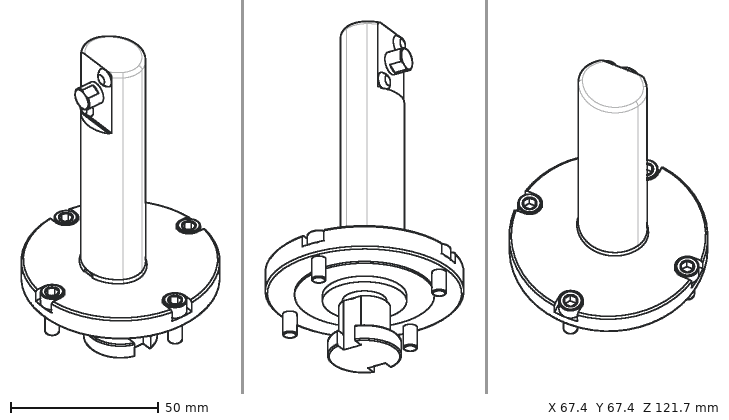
import cadquery as cq
import math

total_height = 121.7
foot_top = 5.8
shaft_top = 18.7
neck_top = 21.2
step_top = 23.4
flange_bottom = 24.1
flange_top = 33.0

flange_diameter = 67.4
flange_chamfer = 0.7
disc_diameter = 47.6
step_diameter = 28.6
neck_diameter = 15.1

shaft_diameter = 17.5
shaft_across_flats = 15.8
foot_diameter = 25.1
foot_chamfer = 0.5
foot_slot_width = 6.9

screw_count = 4
screw_circle_radius = 29.7
screw_shank_diameter = 4.9
screw_shank_bottom = 16.1
screw_head_diameter = 7.9
screw_head_top = 33.3
screw_chamfer = 0.4
socket_mouth_diameter = 4.9
socket_mouth_depth = 0.2
socket_across_flats = 4.0
socket_depth = 3.7
notch_width = 8.6
notch_floor = 28.5

column_back_y = 7.4
column_front_y = -13.7
column_half_width = 12.0
side_arc_radius = 8.4
side_arc_y = -3.3
column_top_fillet = 1.3
flare_height = 1.3
flare_width = 0.5
flare_gap_width = 4.4

face_y = -10.53
face_height = 25.4
face_step_height = 0.4
face_step_depth = 0.6

pin_diameter = 7.9
pin_tip_y = -16.9
pin_below_top = 12.7
pin_chamfer = 0.4
pin_flat_distance = 3.5
pin_flat_offset = 1.6
button_direction = 62.0

button_circle_radius = 10.3
button_diameter = 6.7
button_top_diameter = 3.5
button_height = 1.7


def disc(diameter, bottom, top):
    """Upright cylinder on the main axis between two heights."""
    return cq.Workplane("XY", origin=(0, 0, bottom)).circle(diameter / 2).extrude(top - bottom)


def side_tangent_point(end_y):
    """Point where the right side arc meets the wide arc whose apex is at (0, end_y)."""
    side_arc_x = column_half_width - side_arc_radius
    apex_distance = abs(end_y - side_arc_y)
    wide_radius = (side_arc_x**2 + apex_distance**2 - side_arc_radius**2) / (
        2 * (apex_distance - side_arc_radius)
    )
    toward_apex = math.copysign(1, end_y - side_arc_y)
    reach = side_arc_radius / (wide_radius - side_arc_radius)
    return (
        side_arc_x * (1 + reach),
        side_arc_y + toward_apex * (wide_radius - apex_distance) * reach,
    )


def column_outline(bottom):
    """Closed column section drawn at a given height."""
    back_x, back_y = side_tangent_point(column_back_y)
    front_x, front_y = side_tangent_point(column_front_y)
    return (
        cq.Workplane("XY", origin=(0, 0, bottom))
        .moveTo(back_x, back_y)
        .threePointArc((0, column_back_y), (-back_x, back_y))
        .threePointArc((-column_half_width, side_arc_y), (-front_x, front_y))
        .threePointArc((0, column_front_y), (front_x, front_y))
        .threePointArc((column_half_width, side_arc_y), (back_x, back_y))
        .close()
    )


def make_foot():
    """Shaft with two flats, ending in a foot slotted down to those flats."""
    shaft = disc(shaft_diameter, 0, shaft_top)
    foot = disc(foot_diameter, 0, foot_top).faces("<Z or >Z").chamfer(foot_chamfer)
    body = shaft.union(foot)
    slot_depth = (foot_diameter - shaft_across_flats) / 2
    slot_centre = (foot_diameter + shaft_across_flats) / 4
    slots = (
        cq.Workplane("XY")
        .pushPoints([(-slot_centre, 0), (slot_centre, 0)])
        .rect(slot_depth, foot_slot_width)
        .extrude(shaft_top)
    )
    return body.cut(slots)


def make_flange():
    """Flange with open-ended screw notches and the stepped discs below it."""
    flange = disc(flange_diameter, flange_bottom, flange_top).faces("<Z or >Z").chamfer(flange_chamfer)
    notch_height = flange_top - notch_floor
    notch = (
        cq.Workplane("XY", origin=(screw_circle_radius, 0, notch_floor))
        .circle(notch_width / 2)
        .extrude(notch_height)
        .union(
            cq.Workplane("XY", origin=(screw_circle_radius, 0, notch_floor))
            .rect(notch_width, notch_width)
            .extrude(notch_height)
            .translate((notch_width / 2, 0, 0))
        )
    )
    for index in range(screw_count):
        flange = flange.cut(notch.rotate((0, 0, 0), (0, 0, 1), index * 360 / screw_count))
    discs = (
        disc(disc_diameter, step_top, flange_bottom)
        .union(disc(step_diameter, neck_top, step_top))
        .union(disc(neck_diameter, shaft_top, neck_top))
    )
    return flange.union(discs)


def make_flange_screws():
    """Hexagon-socket screws standing in the flange notches, all turned the same way."""
    head = disc(screw_head_diameter, notch_floor, screw_head_top).faces(">Z").chamfer(screw_chamfer)
    hexagon_diameter = socket_across_flats / math.cos(math.pi / 6)
    socket = (
        cq.Workplane("XY", origin=(0, 0, screw_head_top - socket_depth))
        .polygon(6, hexagon_diameter)
        .extrude(socket_depth)
        .union(disc(socket_mouth_diameter, screw_head_top - socket_mouth_depth, screw_head_top))
    )
    shank = disc(screw_shank_diameter, screw_shank_bottom, notch_floor).faces("<Z").chamfer(screw_chamfer)
    screw = head.cut(socket).union(shank)
    screws = cq.Workplane("XY")
    for index in range(screw_count):
        angle = 2 * math.pi * index / screw_count
        offset = (screw_circle_radius * math.cos(angle), screw_circle_radius * math.sin(angle), 0)
        screws = screws.add(screw.translate(offset))
    return screws.combine()


def make_column():
    """Column with a rounded top, a flared base and one flat face with a small step at its foot."""
    column = column_outline(flange_top).extrude(total_height - flange_top)
    column = column.faces(">Z").edges().fillet(column_top_fillet)

    flare_angle = math.degrees(math.atan2(flare_width, flare_height))
    flare = column_outline(flange_top).offset2D(flare_width).extrude(flare_height, taper=flare_angle)
    flare_gap = (
        cq.Workplane("XY", origin=(0, column_front_y, flange_top))
        .rect(flare_gap_width, 2 * flare_width)
        .extrude(flare_height)
        .translate((0, -flare_width, 0))
    )
    column = column.union(flare.cut(flare_gap))

    face_depth = face_y - column_front_y

    def front_slab(depth, height):
        return (
            cq.Workplane("XY", origin=(0, column_front_y + depth / 2, total_height - height))
            .rect(2 * column_half_width, depth)
            .extrude(height)
        )

    column = column.cut(front_slab(face_depth - face_step_depth, face_height))
    return column.cut(front_slab(face_depth, face_height - face_step_height))


def face_plane():
    """Workplane on the flat face at the pin centre, looking out along -Y."""
    return cq.Workplane("XZ", origin=(0, face_y, total_height - pin_below_top))


def make_pin():
    """Round pin with two parallel flats that stop short of the face."""
    pin_length = face_y - pin_tip_y
    pin = face_plane().circle(pin_diameter / 2).extrude(pin_length).faces("<Y").chamfer(pin_chamfer)
    flat_zone = (
        face_plane()
        .workplane(offset=pin_flat_offset)
        .transformed(rotate=(0, 0, button_direction))
        .rect(2 * pin_flat_distance, pin_diameter)
        .extrude(pin_length)
    )
    root = face_plane().circle(pin_diameter / 2).extrude(pin_flat_offset)
    return pin.intersect(flat_zone.union(root))


def make_button_screws():
    """Two domed screw heads on opposite sides of the pin."""
    base_radius = button_diameter / 2
    top_radius = button_top_diameter / 2
    centre_height = (button_height**2 + top_radius**2 - base_radius**2) / (2 * button_height)
    dome_radius = math.hypot(base_radius, centre_height)
    middle_height = button_height / 2
    middle_radius = math.sqrt(dome_radius**2 - (middle_height - centre_height) ** 2)
    head = (
        cq.Workplane("XY")
        .lineTo(base_radius, 0)
        .threePointArc((middle_radius, middle_height), (top_radius, button_height))
        .lineTo(0, button_height)
        .close()
        .revolve(360, (0, 0, 0), (0, 1, 0))
        .rotate((0, 0, 0), (0, 0, 1), 180)
    )
    angle = math.radians(button_direction)
    offset_x = button_circle_radius * math.cos(angle)
    offset_z = button_circle_radius * math.sin(angle)
    pin_z = total_height - pin_below_top
    upper = head.translate((offset_x, face_y, pin_z + offset_z))
    lower = head.translate((-offset_x, face_y, pin_z - offset_z))
    return upper.union(lower)


result = (
    make_flange()
    .union(make_foot())
    .union(make_column())
    .union(make_flange_screws())
    .union(make_pin())
    .union(make_button_screws())
)